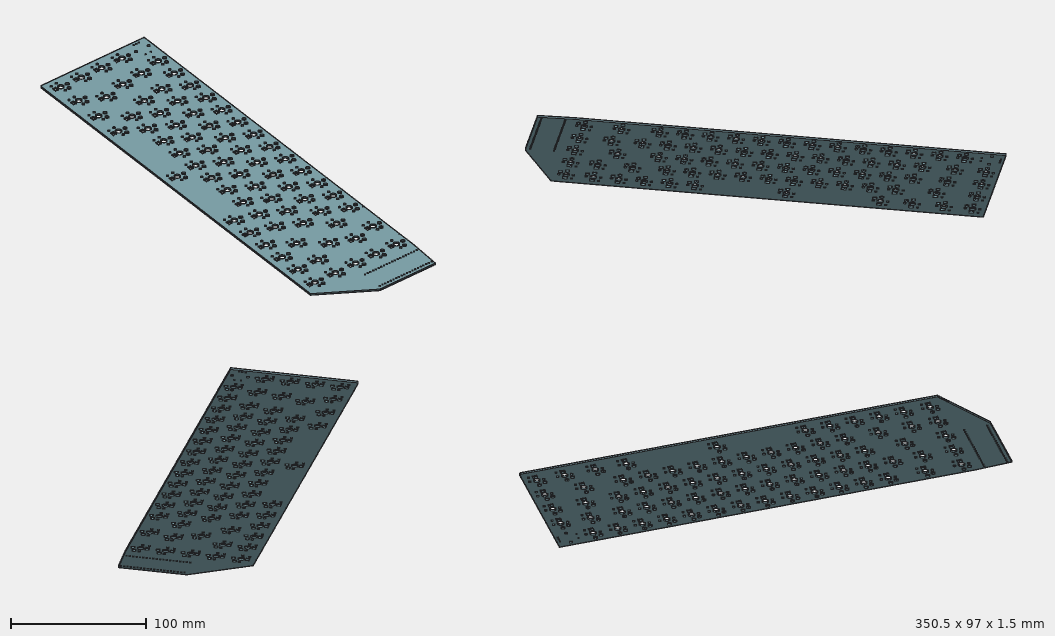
import cadquery as cq

board_length = 350.5
board_width = 97.0
board_thickness = 1.5
front_edge_end = 323.5
slant_top = 44.0
right_edge_top = 95.7
rear_slope_start = 322.5
front_left_radius = 1.5

rear_run_keys = 13
rear_run_span = 228.5
key_pitch = rear_run_span / (rear_run_keys - 1)
side_margin = 0.5
first_key_x = side_margin + key_pitch / 2

switch_centre_diameter = 5.0
contact_diameter = 3.05
upper_contact = (0, 6.0)
side_contact = (5.0, 4.0)
side_peg_diameter = 1.9
side_peg_span = 11.0
corner_peg_diameter = 1.6
corner_peg = (-5.0, -5.3)
lamp_window_length = 3.5
lamp_window_width = 2.8
lamp_window_y = -5.0

encoder_mount_diameter = 2.2
encoder_mount_offset = 6.0
encoder_pin_pitch = 2.5
encoder_signal_x = -7.5
encoder_switch_x = 7.0

pin_diameter = 1.0
header_pin_count = 20
header_length = 48.5
header_pin_pitch = header_length / (header_pin_count - 1)
header_gap_pitches = 7
header_column_gap = header_gap_pitches * header_pin_pitch
header_left_x = 329.5
header_front_y = 46.3

edge_run = (16, 1, side_margin)
key_rows = [
    [(0, 1, 0), (1.125, 1, 0), (2.375, 1, 0), (3.625, 1, 0), (7.375, 1, 1.0), (11, 5, 1.8), edge_run],
    [(0, 1, 0), (1.625, 1, 0.7), (3.25, 10, 1.1), (13.625, 1, 1.5), (15, 1, 1.8), edge_run],
    [(0, 1, 0), (1.375, 1, 0.7), (2.75, 11, 1.23), (14.375, 1, 1.23), edge_run],
    [(0, 1, 0), (1.25, 1, 0.6), (2.5, 12, 0), (14.75, 1, 0.7), edge_run],
    [(1, rear_run_keys, 0), (14.5, 1, 0), edge_run],
]
rear_row = len(key_rows) - 1
front_row_y = board_width - (rear_row + 0.5) * key_pitch


def grid_point(column, row):
    return (first_key_x + column * key_pitch, front_row_y + row * key_pitch)


def switch_centres():
    centres = []
    for row, runs in enumerate(key_rows):
        for first_column, count, left_shift in runs:
            for step in range(count):
                x, y = grid_point(first_column + step, row)
                centres.append((x - left_shift, y))
    return centres


def shifted(points, offset):
    return [(x + offset[0], y + offset[1]) for x, y in points]


def drill(board, points, diameter):
    holes = cq.Workplane("XY").pushPoints(points).circle(diameter / 2).extrude(board_thickness)
    return board.cut(holes)


def make_board():
    outline = [
        (0, 0),
        (front_edge_end, 0),
        (board_length, slant_top),
        (board_length, right_edge_top),
        (rear_slope_start, board_width),
        (0, board_width),
    ]
    board = cq.Workplane("XY").polyline(outline).close().extrude(board_thickness)
    return board.edges("|Z and <X and <Y").fillet(front_left_radius)


def cut_switches(board):
    centres = switch_centres()
    board = drill(board, centres, switch_centre_diameter)
    board = drill(board, shifted(centres, upper_contact), contact_diameter)
    board = drill(board, shifted(centres, side_contact), contact_diameter)
    for side in (-1, 1):
        board = drill(board, shifted(centres, (side * side_peg_span / 2, 0)), side_peg_diameter)
    board = drill(board, shifted(centres, corner_peg), corner_peg_diameter)
    windows = (
        cq.Workplane("XY")
        .pushPoints(shifted(centres, (0, lamp_window_y)))
        .rect(lamp_window_length, lamp_window_width)
        .extrude(board_thickness)
    )
    return board.cut(windows)


def cut_encoder(board):
    x, y = grid_point(0, rear_row)
    mounts = [(x, y + side * encoder_mount_offset) for side in (-1, 1)]
    signal_pins = [(x + encoder_signal_x, y + step * encoder_pin_pitch) for step in (-1, 0, 1)]
    switch_pins = [(x + encoder_switch_x, y + side * encoder_pin_pitch) for side in (-1, 1)]
    board = drill(board, mounts, encoder_mount_diameter)
    return drill(board, signal_pins + switch_pins, pin_diameter)


def cut_header(board):
    pins = [
        (header_left_x + column * header_column_gap, header_front_y + step * header_pin_pitch)
        for column in range(2)
        for step in range(header_pin_count)
    ]
    return drill(board, pins, pin_diameter)


result = cut_header(cut_encoder(cut_switches(make_board())))